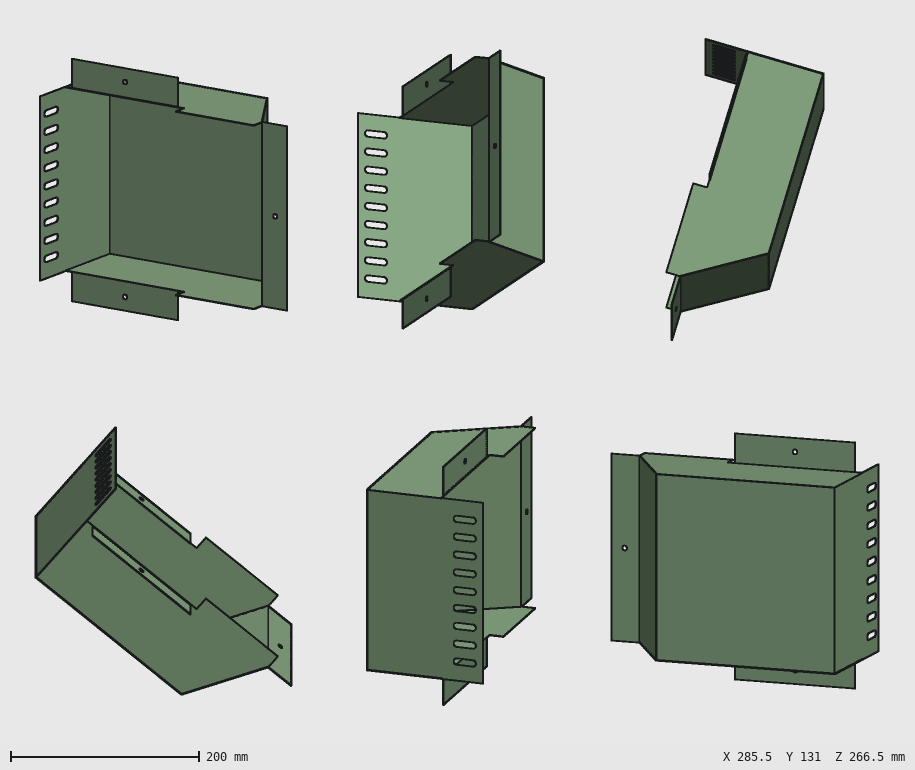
import cadquery as cq

sheet = 0.9
length = 285.5
depth = 131.0
height = 202.5
flange_width = 32.0
back_length = 203.2
mount_depth = 83.5

slope_end = length - flange_width
mount_y = depth - mount_depth

tongue_start = 153.2
tongue_reach = 15.5

side_flange_start = 8.8
side_flange_length = 136.0

hole_diameter = 5.0
hole_edge_distance = 15.0

slot_count = 9
slot_pitch = 20.0
slot_length = 25.0
slot_width = 7.0
slot_front_margin = 8.0


def box(x, y, z, dx, dy, dz):
    """Box with its lowest corner at (x, y, z)."""
    return cq.Workplane("XY").box(dx, dy, dz, centered=False).translate((x, y, z))


def cut_mounting_hole(body, x, z):
    """Drill a hole along Y through a flange."""
    drill = (
        cq.Workplane("XZ", origin=(x, mount_y + mount_depth / 2, z))
        .circle(hole_diameter / 2)
        .extrude(mount_depth)
    )
    return body.cut(drill)


def make_slots():
    """Row of rounded slots through the louvred wall."""
    slot_y = slot_front_margin + slot_length / 2
    row_middle = (slot_count - 1) / 2
    centres = [(slot_y, (i - row_middle) * slot_pitch) for i in range(slot_count)]
    return (
        cq.Workplane("YZ", origin=(-sheet, 0, 0))
        .pushPoints(centres)
        .slot2D(slot_length, slot_width)
        .extrude(3 * sheet)
    )


def make_sloping_panel():
    """Sloping wall and end flange, bent from one strip; it closes the end of the housing."""
    run = slope_end - back_length
    rise = mount_depth - sheet
    slope_sheet = sheet * (run**2 + rise**2) ** 0.5 / rise
    inner_shift = slope_sheet - sheet * run / rise
    panel = (
        cq.Workplane("XY", origin=(0, 0, -height / 2))
        .polyline([
            (back_length, depth),
            (back_length - inner_shift, depth - sheet),
            (slope_end - inner_shift, mount_y),
            (length, mount_y),
            (length, mount_y + sheet),
            (slope_end, mount_y + sheet),
        ])
        .close()
        .extrude(height)
    )
    return cut_mounting_hole(panel, length - hole_edge_distance, 0)


def make_top_plate():
    """Top plate with its tongue and upright side flange."""
    plate = (
        cq.Workplane("XY", origin=(0, 0, height / 2 - sheet))
        .polyline([
            (0, mount_y),
            (tongue_start, mount_y),
            (tongue_start, mount_y - tongue_reach),
            (slope_end, mount_y - tongue_reach),
            (slope_end, mount_y + sheet),
            (back_length, depth),
            (0, depth),
        ])
        .close()
        .extrude(sheet)
    )
    flange = box(
        side_flange_start, mount_y, height / 2 - sheet,
        side_flange_length, sheet, flange_width + sheet,
    )
    hole_x = side_flange_start + side_flange_length / 2
    hole_z = height / 2 + flange_width - hole_edge_distance
    return cut_mounting_hole(plate.union(flange), hole_x, hole_z)


def make_housing(panel):
    """Louvred wall, back and both plates, with the plates trimmed to fit the sloping panel."""
    wall = box(0, 0, -height / 2, sheet, depth, height).cut(make_slots())
    back = box(0, depth - sheet, -height / 2, back_length, sheet, height)
    top_plate = make_top_plate()
    bottom_plate = top_plate.mirror("XY")
    return wall.union(back).union(top_plate).union(bottom_plate).cut(panel)


sloping_panel = make_sloping_panel()
housing = make_housing(sloping_panel)

result = cq.Compound.makeCompound([housing.solids().val(), sloping_panel.solids().val()])